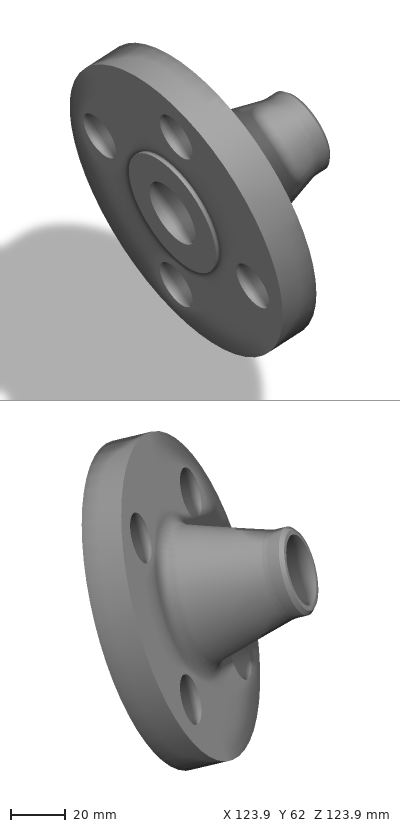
import cadquery as cq

total_length = 62.0
flange_diameter = 123.9
flange_thickness = 15.9
raised_face_diameter = 50.8
raised_face_height = 1.7
bore_diameter = 26.8

bolt_hole_count = 4
bolt_hole_diameter = 19.1
bolt_circle_diameter = 89.0

neck_diameter = 33.5
neck_length = 7.2
hub_base_diameter = 54.4
hub_fillet_radius = 6.0
neck_blend_radius = 7.4
weld_chamfer = 1.5

front_y = -total_length / 2
flange_front_y = front_y + raised_face_height
flange_back_y = flange_front_y + flange_thickness
end_y = total_length / 2
taper_end_y = end_y - neck_length


def disc(diameter, start_y, length):
    """Cylinder on the flange axis, growing toward +Y."""
    plane = cq.Workplane("XZ", origin=(0, start_y, 0))
    return plane.circle(diameter / 2).extrude(-length)


def make_hub():
    """Flange, tapered hub and weld end turned from one half-profile."""
    profile = (
        cq.Workplane("XY")
        .moveTo(0, flange_front_y)
        .lineTo(flange_diameter / 2, flange_front_y)
        .lineTo(flange_diameter / 2, flange_back_y)
        .lineTo(hub_base_diameter / 2, flange_back_y)
        .lineTo(neck_diameter / 2, taper_end_y)
        .lineTo(neck_diameter / 2, end_y)
        .lineTo(0, end_y)
        .close()
    )
    body = profile.revolve(360, (0, 0, 0), (0, 1, 0))
    body = body.faces(">Y").edges().chamfer(weld_chamfer)
    body = round_corner(body, hub_base_diameter, flange_back_y, hub_fillet_radius)
    return round_corner(body, neck_diameter, taper_end_y, neck_blend_radius)


def round_corner(body, diameter, y, radius):
    """Fillet the circular edge of the given diameter at height y."""
    reach = diameter / 2 + 0.1
    selector = cq.selectors.BoxSelector(
        (-reach, y - 0.1, -reach), (reach, y + 0.1, reach), boundingbox=True
    )
    return body.edges(selector).fillet(radius)


def bolt_holes():
    """Through holes evenly spaced on the bolt circle, one of them on +X."""
    return (
        cq.Workplane("XZ", origin=(0, flange_front_y, 0))
        .polarArray(bolt_circle_diameter / 2, 0, 360, bolt_hole_count)
        .circle(bolt_hole_diameter / 2)
        .extrude(-flange_thickness)
    )


raised_face = disc(raised_face_diameter, front_y, raised_face_height)
bore = disc(bore_diameter, front_y, total_length)

result = make_hub().union(raised_face).cut(bolt_holes()).cut(bore)